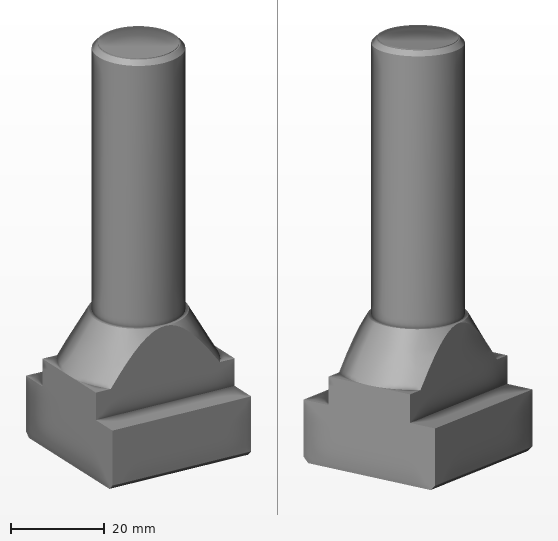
import cadquery as cq

total_height = 94.0
shank_diameter = 20.0
tip_diameter = 17.4
tip_height = 0.2
shank_chamfer = 1.0

head_width = 35.0
head_height = 14.0
head_chamfer = 1.2

neck_width = 21.6
neck_block_top = 20.4
neck_top = 32.0


def make_head():
    head = cq.Workplane("XY").box(head_width, head_width, head_height, centered=(True, True, False))
    return head.faces("<Z").edges("|Y").chamfer(head_chamfer)


def make_neck():
    tongue = cq.Workplane("XY").box(neck_width, head_width, neck_top, centered=(True, True, False))
    block = cq.Workplane("XY").box(neck_width, head_width, neck_block_top, centered=(True, True, False))
    cone = (
        cq.Workplane("XY")
        .workplane(offset=neck_block_top)
        .circle(head_width / 2)
        .workplane(offset=neck_top - neck_block_top)
        .circle(neck_width / 2)
        .loft(ruled=True)
    )
    return block.union(cone.intersect(tongue))


def make_shank():
    shank = cq.Workplane("XY").circle(shank_diameter / 2).extrude(total_height - tip_height)
    shank = shank.faces(">Z").chamfer(shank_chamfer)
    tip = cq.Workplane("XY").circle(tip_diameter / 2).extrude(total_height)
    return shank.union(tip)


result = make_head().union(make_neck()).union(make_shank())